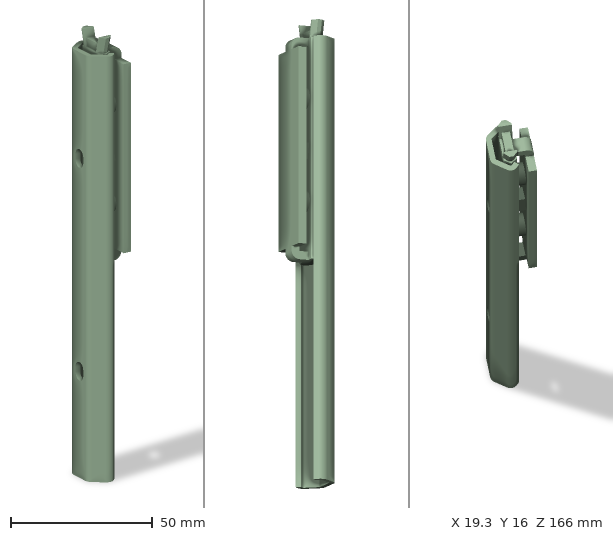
import cadquery as cq
import math

OVERALL_LENGTH = 166.0

CHANNEL_LENGTH = 160.0
CHANNEL_WIDTH = 19.3
WALL = 2.0
FRONT_FLAT_HALF = 3.8
FRONT_BEND_RADIUS = 2.8
SIDE_BEND_RADIUS = 2.7
SLANT_ANGLE = 53.0
LIP_ANGLE = 135.0
LIP_LENGTH = 1.5

SLOT_WIDTH = 5.0
SLOT_HEIGHT = 7.0

BRACKET_LENGTH = CHANNEL_LENGTH / 2
BRACKET_BACK = 16.0
BRACKET_THICKNESS = 3.0
PLATE_WIDTH = 17.6
PLATE_END_GAP = 4.5
TAB_WIDTH = 5.5
TAB_TIP = 8.6

SLIDER_FRONT = 4.7
SLIDER_BACK = 9.5
SLIDER_FACE_HALF = 5.1
SLIDER_EDGE_HALF = 6.8
WEB_HEIGHT = 3.0
WEB_FRONT = 5.6
PRONG_RISE = OVERALL_LENGTH - CHANNEL_LENGTH
PRONG_LEAN = 15.0
PRONG_THICKNESS = 2.3
PRONG_CHAMFER = 1.7
PRONG_BASE_OUTER = 5.8

SPACER_DIAMETER = 8.1
SPACER_OFFSET = 18.6
PIN_DIAMETER = 5.0
PIN_SHANK_SIDE = 5.8
PIN_SHANK_TURN = 13.0

SLIDER_BOTTOM = CHANNEL_LENGTH - BRACKET_LENGTH
SLIDER_DEPTH = SLIDER_BACK - SLIDER_FRONT
SLIDER_MID_Y = (SLIDER_FRONT + SLIDER_BACK) / 2
PLATE_FRONT = BRACKET_BACK - BRACKET_THICKNESS
PIN_Z = CHANNEL_LENGTH * 3 / 4


def on_arc(centre, radius, angle):
    """Point whose outward normal is turned by angle from -Y towards +X."""
    turn = math.radians(angle)
    return (centre[0] + radius * math.sin(turn), centre[1] - radius * math.cos(turn))


def box(x_half, y_low, y_high, z_low, z_high):
    """Block centred on X = 0 between the given Y and Z limits."""
    return (
        cq.Workplane("XY")
        .box(2 * x_half, y_high - y_low, z_high - z_low, centered=(True, False, False))
        .translate((0, y_low, z_low))
    )


def rod(diameter, y_low, y_high, z):
    """Round bar along Y, centred on X = 0."""
    return (
        cq.Workplane("XZ", origin=(0, y_high, z))
        .circle(diameter / 2)
        .extrude(y_high - y_low)
    )


def make_channel():
    front_centre = (FRONT_FLAT_HALF, FRONT_BEND_RADIUS)
    side_x = CHANNEL_WIDTH / 2 - SIDE_BEND_RADIUS
    slant = math.radians(SLANT_ANGLE)
    side_rise = (
        (side_x - FRONT_FLAT_HALF) * math.sin(slant) + SIDE_BEND_RADIUS - FRONT_BEND_RADIUS
    ) / math.cos(slant)
    side_centre = (side_x, FRONT_BEND_RADIUS + side_rise)

    def half_path(inset):
        front_r = FRONT_BEND_RADIUS - inset
        side_r = SIDE_BEND_RADIUS - inset
        lip = math.radians(LIP_ANGLE)
        lip_start = on_arc(side_centre, side_r, LIP_ANGLE)
        lip_end = (
            lip_start[0] + LIP_LENGTH * math.cos(lip),
            lip_start[1] + LIP_LENGTH * math.sin(lip),
        )
        return [
            on_arc(front_centre, front_r, 0),
            on_arc(front_centre, front_r, SLANT_ANGLE / 2),
            on_arc(front_centre, front_r, SLANT_ANGLE),
            on_arc(side_centre, side_r, SLANT_ANGLE),
            on_arc(side_centre, side_r, (SLANT_ANGLE + LIP_ANGLE) / 2),
            lip_start,
            lip_end,
        ]

    outer = half_path(0)
    inner = half_path(WALL)
    half = (
        cq.Workplane("XY")
        .moveTo(0, 0)
        .lineTo(*outer[0])
        .threePointArc(outer[1], outer[2])
        .lineTo(*outer[3])
        .threePointArc(outer[4], outer[5])
        .lineTo(*outer[6])
        .lineTo(*inner[6])
        .lineTo(*inner[5])
        .threePointArc(inner[4], inner[3])
        .lineTo(*inner[2])
        .threePointArc(inner[1], inner[0])
        .lineTo(0, WALL)
        .close()
        .extrude(CHANNEL_LENGTH)
    )
    channel = half.union(half.mirror("YZ")).clean()
    slots = (
        cq.Workplane("XZ")
        .pushPoints([(0, CHANNEL_LENGTH / 4), (0, PIN_Z)])
        .slot2D(SLOT_HEIGHT, SLOT_WIDTH, 90)
        .extrude(-2 * WALL)
    )
    return channel.cut(slots)


def make_bracket():
    strip = box(TAB_WIDTH / 2, TAB_TIP, BRACKET_BACK, SLIDER_BOTTOM, CHANNEL_LENGTH)
    strip = strip.edges("|X and >Y").fillet(BRACKET_THICKNESS)
    inside = box(
        TAB_WIDTH, 0, PLATE_FRONT,
        SLIDER_BOTTOM + BRACKET_THICKNESS, CHANNEL_LENGTH - BRACKET_THICKNESS,
    )
    plate = box(
        PLATE_WIDTH / 2, PLATE_FRONT, BRACKET_BACK,
        SLIDER_BOTTOM + PLATE_END_GAP, CHANNEL_LENGTH - PLATE_END_GAP,
    )
    return strip.cut(inside).union(plate)


def make_prong():
    """Right-hand prong, chamfered along its outer edges and leaning outwards."""
    inner_x = PRONG_BASE_OUTER - PRONG_THICKNESS
    straight_x = PRONG_BASE_OUTER - PRONG_CHAMFER
    flat_half = SLIDER_DEPTH / 2 - PRONG_CHAMFER
    shift = PRONG_RISE * math.tan(math.radians(PRONG_LEAN))
    section = [
        (inner_x, -SLIDER_DEPTH / 2),
        (straight_x, -SLIDER_DEPTH / 2),
        (PRONG_BASE_OUTER, -flat_half),
        (PRONG_BASE_OUTER, flat_half),
        (straight_x, SLIDER_DEPTH / 2),
        (inner_x, SLIDER_DEPTH / 2),
    ]
    return (
        cq.Workplane("XY", origin=(0, SLIDER_MID_Y, CHANNEL_LENGTH))
        .polyline(section)
        .close()
        .workplane(offset=PRONG_RISE)
        .polyline([(x + shift, y) for x, y in section])
        .close()
        .loft(ruled=True)
    )


def make_slider():
    bar = (
        cq.Workplane("XY", origin=(0, 0, SLIDER_BOTTOM))
        .polyline([
            (-SLIDER_FACE_HALF, SLIDER_FRONT),
            (SLIDER_FACE_HALF, SLIDER_FRONT),
            (SLIDER_EDGE_HALF, SLIDER_MID_Y),
            (SLIDER_FACE_HALF, SLIDER_BACK),
            (-SLIDER_FACE_HALF, SLIDER_BACK),
            (-SLIDER_EDGE_HALF, SLIDER_MID_Y),
        ])
        .close()
        .extrude(BRACKET_LENGTH)
    )
    web_half = PRONG_BASE_OUTER - PRONG_THICKNESS / 2
    web = box(web_half, WEB_FRONT, TAB_TIP, CHANNEL_LENGTH, CHANNEL_LENGTH + WEB_HEIGHT)
    prong = make_prong()
    slider = bar.union(web).union(prong).union(prong.mirror("YZ"))
    for z_low in (SLIDER_BOTTOM, CHANNEL_LENGTH - BRACKET_THICKNESS):
        slider = slider.cut(
            box(TAB_WIDTH / 2, TAB_TIP, SLIDER_BACK, z_low, z_low + BRACKET_THICKNESS)
        )
    return slider.cut(rod(PIN_DIAMETER, SLIDER_FRONT, SLIDER_BACK, PIN_Z))


def make_spacer(z):
    return rod(SPACER_DIAMETER, SLIDER_BACK, PLATE_FRONT, z)


def make_pin():
    """Round pin through the slider with a turned square shank behind it."""
    shank = (
        cq.Workplane("XZ", origin=(0, PLATE_FRONT, PIN_Z))
        .transformed(rotate=(0, 0, PIN_SHANK_TURN))
        .rect(PIN_SHANK_SIDE, PIN_SHANK_SIDE)
        .extrude(PLATE_FRONT - SLIDER_BACK)
    )
    return shank.union(rod(PIN_DIAMETER, SLIDER_FRONT, SLIDER_BACK, PIN_Z))


channel = make_channel()
bracket = make_bracket()
slider = make_slider()
pin = make_pin()
spacers = [make_spacer(PIN_Z + side * SPACER_OFFSET) for side in (-1, 1)]

result = cq.Compound.makeCompound([
    channel.val(),
    bracket.val(),
    slider.val(),
    pin.val(),
    *[spacer.val() for spacer in spacers],
])